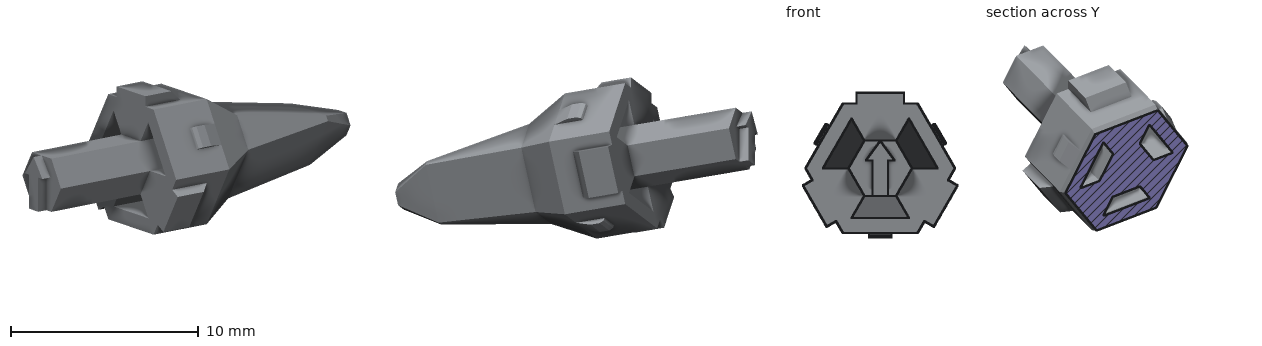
import cadquery as cq
import math


BODY_LENGTH = 3.56
SHOULDER_LENGTH = 2.21
NOSE_LENGTH = 6.1
TIP_LENGTH = 2.3
SHAFT_LENGTH = 5.98
ARROW_HEIGHT = 0.54

BODY_FLAT = 3.45
SHAFT_FLAT = 1.47
TIP_FLAT = 0.62
NOSE_BASE_KEY_FLAT = 2.15
NOSE_BASE_CLIP_FLAT = 2.6
NOSE_END_KEY_FLAT = 1.1
NOSE_END_CLIP_FLAT = 1.93

KEY_ANGLES = (90, 210, 330)
CLIP_ANGLES = (30, 150, 270)

KEY_WIDTH = 2.55
KEY_LENGTH = 2.32
KEY_TOP = 4.04
KEY_ROOT = 3.1

CLIP_WIDTH = 1.2
CLIP_TOP = 3.7
CLIP_ROOT = 3.1
CLIP_START = 1.88
CLIP_CREST_START = 2.17
CLIP_BEVEL_DROP = 0.1
CLIP_BEVEL_START = 1.95
CLIP_CREST_END = 2.71

POCKET_FLAT = 2.65
POCKET_TAPER_LENGTH = 2.05
POCKET_DEPTH = BODY_LENGTH + POCKET_TAPER_LENGTH

ARROW_HEAD_WIDTH = 1.53
ARROW_HEAD_LENGTH = 1.05
ARROW_STEM_WIDTH = 0.8


def hexagon_points(key_flat, clip_flat):
    """Corners of a hexagon whose flats alternate between two distances from the axis."""
    half_side = (clip_flat - key_flat / 2) / math.cos(math.radians(30))
    points = []
    for angle in KEY_ANGLES:
        direction = math.radians(angle)
        for along in (half_side, -half_side):
            x = key_flat * math.cos(direction) + along * math.sin(direction)
            z = key_flat * math.sin(direction) - along * math.cos(direction)
            points.append((x, z))
    return points


def section_wire(y, key_flat, clip_flat):
    corners = [cq.Vector(x, y, z) for x, z in hexagon_points(key_flat, clip_flat)]
    return cq.Wire.makePolygon(corners, close=True)


def hexagonal_segment(start, end):
    """Straight-sided solid between two sections given as (y, key_flat, clip_flat)."""
    wires = [section_wire(*start), section_wire(*end)]
    return cq.Workplane(cq.Solid.makeLoft(wires, True))


def flat_profile(points, width):
    """Extrude a (radius, y) profile, centred on the +X direction."""
    return cq.Workplane("XY").polyline(points).close().extrude(width / 2, both=True)


def turned(solid, angle):
    """Turn a solid from the +X direction towards +Z about the axis."""
    return solid.rotate((0, 0, 0), (0, 1, 0), -angle)


def make_key():
    """Raised key with a 45 degree ramp towards the nose, rooted inside the body rim."""
    rise = KEY_TOP - BODY_FLAT
    return flat_profile(
        [
            (KEY_ROOT, 0),
            (KEY_TOP, 0),
            (KEY_TOP, KEY_LENGTH - rise),
            (BODY_FLAT, KEY_LENGTH),
            (KEY_ROOT, KEY_LENGTH),
        ],
        KEY_WIDTH,
    )


def make_clip():
    """Low catch rising from the shoulder edge to a crest with a bevelled end."""
    return flat_profile(
        [
            (CLIP_ROOT, CLIP_START),
            (BODY_FLAT, CLIP_START),
            (CLIP_TOP - CLIP_BEVEL_DROP, CLIP_BEVEL_START),
            (CLIP_TOP, CLIP_CREST_START),
            (CLIP_TOP, CLIP_CREST_END),
            (BODY_FLAT, BODY_LENGTH),
            (CLIP_ROOT, BODY_LENGTH),
        ],
        CLIP_WIDTH,
    )


def make_pocket():
    """Sector pocket, straight in the body, with a floor sloping in to the shaft flat's plane."""
    profile = flat_profile(
        [
            (SHAFT_FLAT, 0),
            (POCKET_FLAT, 0),
            (POCKET_FLAT, BODY_LENGTH),
            (SHAFT_FLAT, POCKET_DEPTH),
        ],
        2 * POCKET_FLAT,
    )
    half_angle = math.radians(30)
    half_width = POCKET_FLAT * math.tan(half_angle)
    sector = (
        cq.Workplane("XZ")
        .polyline([(0, 0), (POCKET_FLAT, -half_width), (POCKET_FLAT, half_width)])
        .close()
        .extrude(-POCKET_DEPTH)
    )
    return profile.intersect(sector)


def make_arrow():
    """Arrow with its point on the upper shaft flat and its stem ending on the lower one."""
    head_base = SHAFT_FLAT - ARROW_HEAD_LENGTH
    half_head = ARROW_HEAD_WIDTH / 2
    half_stem = ARROW_STEM_WIDTH / 2
    return (
        cq.Workplane("XZ", origin=(0, -SHAFT_LENGTH, 0))
        .polyline(
            [
                (0, SHAFT_FLAT),
                (half_head, head_base),
                (half_stem, head_base),
                (half_stem, -SHAFT_FLAT),
                (-half_stem, -SHAFT_FLAT),
                (-half_stem, head_base),
                (-half_head, head_base),
            ]
        )
        .close()
        .extrude(ARROW_HEIGHT)
    )


nose_start = BODY_LENGTH + SHOULDER_LENGTH
nose_end = nose_start + NOSE_LENGTH
sections = [
    (0, BODY_FLAT, BODY_FLAT),
    (BODY_LENGTH, BODY_FLAT, BODY_FLAT),
    (nose_start, NOSE_BASE_KEY_FLAT, NOSE_BASE_CLIP_FLAT),
    (nose_end, NOSE_END_KEY_FLAT, NOSE_END_CLIP_FLAT),
    (nose_end + TIP_LENGTH, TIP_FLAT, TIP_FLAT),
]
result = hexagonal_segment(sections[0], sections[1])
for start, end in zip(sections[1:], sections[2:]):
    result = result.union(hexagonal_segment(start, end))

shaft_end = (-SHAFT_LENGTH, SHAFT_FLAT, SHAFT_FLAT)
result = result.union(hexagonal_segment(shaft_end, (0, SHAFT_FLAT, SHAFT_FLAT)))
result = result.union(make_arrow())

for angle in KEY_ANGLES:
    result = result.union(turned(make_key(), angle))
for angle in CLIP_ANGLES:
    result = result.union(turned(make_clip(), angle))
    result = result.cut(turned(make_pocket(), angle))